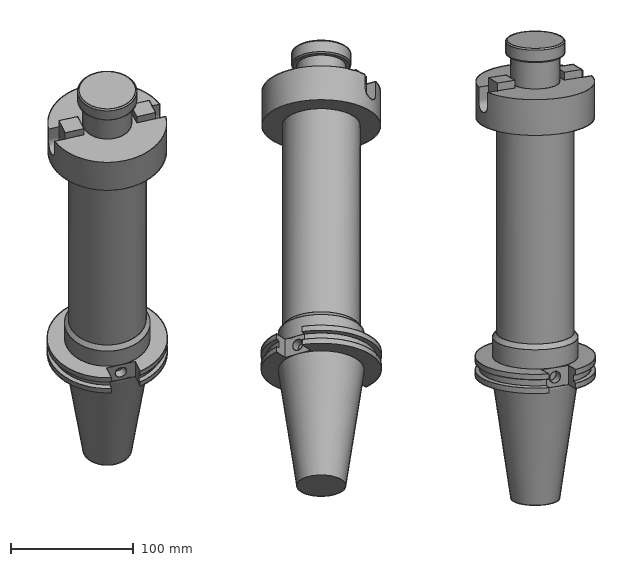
import cadquery as cq

total_height = 392.0
taper_top = 102.7
ring_bottom = 105.0
ring_top = 121.5
shoulder_bottom = 138.0
shoulder_top = 142.0
flange_bottom = 326.0
flange_top = 356.5
key_top = 363.0

taper_small_radius = 20.0
neck_radius = 35.0
tube_radius = 31.8

ring_radius = 49.0
groove_floor_radius = 45.5
groove_width = 7.0
groove_floor_width = 5.5
drive_slot_width = 24.7
drive_slot_floor = neck_radius
drive_hole_diameter = 9.8
drive_hole_depth = 8.0

flange_diameter = 97.0
flange_radius = flange_diameter / 2
pilot_radius = 20.0
key_width = 15.5
key_inner_end = 22.7
key_length = 16.0
keyway_bottom = 337.2

head_diameter = 48.2
head_height = 12.0
head_chamfer = 1.0

head_bottom = total_height - head_height
ring_middle = (ring_bottom + ring_top) / 2


def arbor_blank():
    """Turned shape of the arbor, from the taper up to the pilot."""
    groove_half = groove_width / 2
    floor_half = groove_floor_width / 2
    profile = [
        (0, 0),
        (taper_small_radius, 0),
        (neck_radius, taper_top),
        (neck_radius, ring_bottom),
        (ring_radius, ring_bottom),
        (ring_radius, ring_middle - groove_half),
        (groove_floor_radius, ring_middle - floor_half),
        (groove_floor_radius, ring_middle + floor_half),
        (ring_radius, ring_middle + groove_half),
        (ring_radius, ring_top),
        (neck_radius, ring_top),
        (neck_radius, shoulder_bottom),
        (tube_radius, shoulder_top),
        (tube_radius, flange_bottom),
        (flange_radius, flange_bottom),
        (flange_radius, flange_top),
        (pilot_radius, flange_top),
        (pilot_radius, head_bottom),
        (0, head_bottom),
    ]
    return cq.Workplane("XZ").polyline(profile).close().revolve(360, (0, 0, 0), (0, 1, 0))


def drive_slot(side):
    """Cutter for a slot through the ring, with a blind hole in the slot floor."""
    slot_depth = ring_radius - drive_slot_floor
    slot = cq.Workplane("XY").box(slot_depth, drive_slot_width, ring_top - ring_bottom)
    slot = slot.translate((side * (drive_slot_floor + slot_depth / 2), 0, ring_middle))
    hole = (
        cq.Workplane("YZ", origin=(side * drive_slot_floor, 0, ring_middle))
        .circle(drive_hole_diameter / 2)
        .extrude(-side * drive_hole_depth)
    )
    return slot.union(hole)


def round_bottom_bar(side, inner_end, outer_end, top):
    """Radial bar along Y with a half-round underside that fits the keyway."""
    half_width = key_width / 2
    arc_height = keyway_bottom + half_width
    return (
        cq.Workplane("XZ", origin=(0, side * inner_end, 0))
        .moveTo(-half_width, top)
        .lineTo(-half_width, arc_height)
        .threePointArc((0, keyway_bottom), (half_width, arc_height))
        .lineTo(half_width, top)
        .close()
        .extrude(-side * (outer_end - inner_end))
    )


def make_arbor():
    """Arbor with drive slots, keyways and the keys that stand in them."""
    arbor = arbor_blank()
    key_outer_end = key_inner_end + key_length
    for side in (-1, 1):
        arbor = arbor.cut(drive_slot(side))
        arbor = arbor.cut(round_bottom_bar(side, key_outer_end, flange_radius, flange_top))
        arbor = arbor.union(round_bottom_bar(side, key_inner_end, key_outer_end, key_top))
    return arbor


def make_clamping_head():
    """Round screw head seated on the end of the pilot."""
    return (
        cq.Workplane("XY", origin=(0, 0, head_bottom))
        .circle(head_diameter / 2)
        .extrude(head_height)
        .faces("<Z or >Z")
        .chamfer(head_chamfer)
    )


arbor = make_arbor()
clamping_head = make_clamping_head()

result = cq.Compound.makeCompound([arbor.val(), clamping_head.val()])